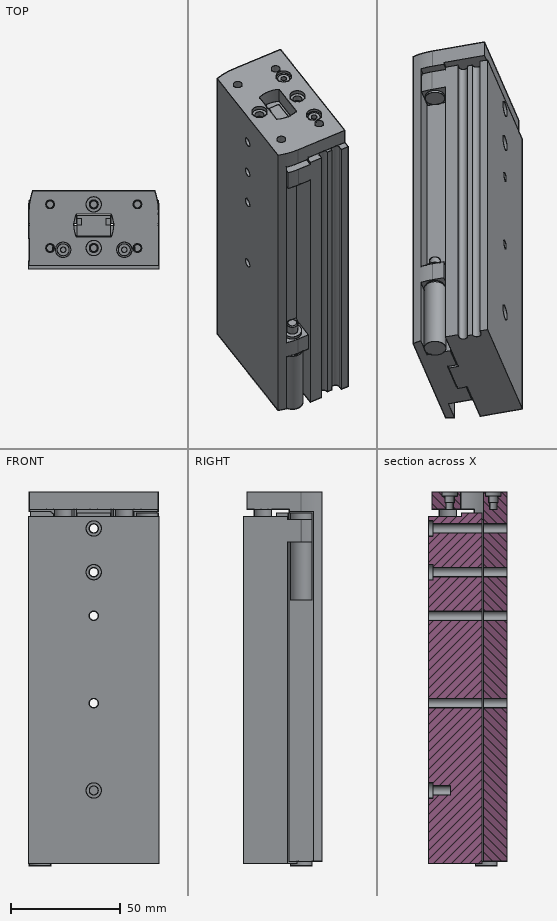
import cadquery as cq
import math


total_depth = 36.0
housing_half_width = 30.0
housing_height = 159.0
housing_depth = 20.1
end_plate_bottom = 162.3
end_plate_thickness = 8.0
end_plate_top = end_plate_bottom + end_plate_thickness
end_plate_front = 1.6

table_half_width = 29.6
table_edge_narrowing = 1.6
side_arc_start = 26.4
table_bottom = 1.0
table_neck_front = 20.9
table_neck_half_width = 18.5
table_back_plate_front = 32.0
pocket_top = 161.3
pocket_corner = 1.2

shock_x = -24.6
shock_y = 26.5
bracket_bottom = 35.4
bracket_top = 44.8
shock_bottom = -1.1
shock_body_diameter = 10.0
shock_body_top = bracket_bottom - 1.3
shock_neck_diameter = 8.5
shock_neck_top = bracket_top + 1.4
shock_stud_diameter = 5.0
shock_stud_top = 51.2
shock_stud_chamfer = 0.5

block_bottom = 147.3
block_top = 157.7
block_back = 31.5
block_inner_x = 19.2
bumper_diameter = 9.0
bumper_thickness = 1.1
stop_diameter = 10.0
stop_top = 160.7
stop_length = 40.0

groove_diameter = 4.0
groove_centers = (5.7, 12.1)
groove_center_x = -28.2

rail_half_width = 7.7
rail_front = 15.1
rail_back = 24.6
rail_top = 160.7
rail_notch_front = 20.3
rail_notch_back = 23.2
rail_notch_half_width = 5.6
rail_notch_depth = 10.0
window_half_width = 8.0
window_bulge = 1.1
window_front = 14.8
window_back = 25.2
window_bottom = block_top
channel_clearance = 0.1

rod_x = 14.0
rod_y = 8.9
rod_diameter = 8.1
rod_bottom = 50.0
rod_tip_diameter = 5.5
rod_socket_diameter = 2.5
rod_socket_depth = 3.0
rod_recess_diameter = 10.0
rod_recess_depth = 1.0
rod_counterbore_diameter = 7.0
rod_counterbore_depth = 1.5

hole_diameter = 4.13
dowel_diameter = 7.0
dowel_depth = 2.0
corner_thread_diameter = 4.0
plate_pilot_diameter = 3.24
plate_thread_depth = 5.0
plate_hole_x = 20.0
plate_hole_rows = (9.7, 29.7)
front_hole_pitch = 20.0
top_hole_z = 153.5
through_hole_z = [top_hole_z - front_hole_pitch * step for step in (0, 1, 2, 4)]
blind_hole_z = top_hole_z - 6 * front_hole_pitch
blind_hole_depth = 10.0
counterbored_z = (through_hole_z[0], through_hole_z[1], blind_hole_z)


def box(x_min, x_max, y_min, y_max, z_min, z_max):
    """Box between the given limits."""
    size = (x_max - x_min, y_max - y_min, z_max - z_min)
    return cq.Workplane("XY").box(*size, centered=False).translate((x_min, y_min, z_min))


def cylinder_z(x, y, diameter, z_min, z_max):
    """Upright cylinder."""
    return cq.Workplane("XY", origin=(x, y, z_min)).circle(diameter / 2).extrude(z_max - z_min)


def cylinder_y(z, diameter, y_min, y_max):
    """Cylinder along Y in the middle plane."""
    return cq.Workplane("XZ", origin=(0, y_min, z)).circle(diameter / 2).extrude(y_min - y_max)


def rounded_outline(half_width, y_min, y_max, z_min, z_max):
    """Prism whose flat sides turn into tangent arcs that narrow toward the back."""
    full_run = total_depth - side_arc_start
    radius = (full_run ** 2 + table_edge_narrowing ** 2) / (2 * table_edge_narrowing)

    def half_width_at(y):
        return half_width - radius + math.sqrt(radius ** 2 - (y - side_arc_start) ** 2)

    y_middle = (side_arc_start + y_max) / 2
    x_middle = half_width_at(y_middle)
    x_back = half_width_at(y_max)
    return (
        cq.Workplane("XY", origin=(0, 0, z_min))
        .moveTo(-half_width, y_min)
        .lineTo(half_width, y_min)
        .lineTo(half_width, side_arc_start)
        .threePointArc((x_middle, y_middle), (x_back, y_max))
        .lineTo(-x_back, y_max)
        .threePointArc((-x_middle, y_middle), (-half_width, side_arc_start))
        .close()
        .extrude(z_max - z_min)
    )


def guide_rail():
    """Rail standing on the housing, with a square notch in the top of each side."""
    rail = box(-rail_half_width, rail_half_width, rail_front, rail_back, 0, rail_top)
    notch_bottom = rail_top - rail_notch_depth
    for x_min, x_max in ((-rail_half_width, -rail_notch_half_width),
                         (rail_notch_half_width, rail_half_width)):
        rail = rail.cut(box(x_min, x_max, rail_notch_front, rail_notch_back, notch_bottom, rail_top))
    return rail


def stop_blocks():
    """Pair of blocks at the top of the housing that carry the end stops."""
    blocks = rounded_outline(housing_half_width, housing_depth, block_back, block_bottom, block_top)
    between = box(-block_inner_x, block_inner_x, housing_depth, block_back, block_bottom, block_top)
    bumper = cylinder_z(shock_x, shock_y, bumper_diameter, block_bottom - bumper_thickness, block_bottom)
    return blocks.cut(between).union(bumper)


def sensor_grooves():
    """Two round-bottomed grooves and the lowered land between them."""
    first, last = groove_centers
    cutter = box(-housing_half_width, groove_center_x, first, last, 0, housing_height)
    for y in groove_centers:
        radius = groove_diameter / 2
        cutter = cutter.union(
            box(-housing_half_width, groove_center_x, y - radius, y + radius, 0, housing_height)
        )
        cutter = cutter.union(cylinder_z(groove_center_x, y, groove_diameter, 0, housing_height))
    return cutter


def rod_bore(x):
    """Bore of the housing that one rod fills, with a wider recess at its mouth."""
    recess_bottom = housing_height - rod_recess_depth
    bore = cylinder_z(x, rod_y, rod_diameter, rod_bottom, housing_height)
    return bore.union(cylinder_z(x, rod_y, rod_recess_diameter, recess_bottom, housing_height))


def make_housing():
    body = box(-housing_half_width, housing_half_width, 0, housing_depth, 0, housing_height)
    body = body.cut(sensor_grooves()).union(guide_rail()).union(stop_blocks())
    for x in (-rod_x, rod_x):
        body = body.cut(rod_bore(x))
    body = body.cut(cylinder_z(-shock_x, shock_y, stop_diameter, block_bottom, block_top))
    for z in through_hole_z:
        body = body.cut(cylinder_y(z, hole_diameter, 0, rail_back))
    body = body.cut(cylinder_y(blind_hole_z, hole_diameter, 0, blind_hole_depth))
    for z in counterbored_z:
        body = body.cut(cylinder_y(z, dowel_diameter, 0, dowel_depth))
    return body


def guide_window():
    """Window with bulged ends, through the end plate and into the top of the neck."""
    y_middle = (window_front + window_back) / 2
    x_bulge = window_half_width + window_bulge
    return (
        cq.Workplane("XY", origin=(0, 0, window_bottom))
        .moveTo(-window_half_width, window_front)
        .lineTo(window_half_width, window_front)
        .threePointArc((x_bulge, y_middle), (window_half_width, window_back))
        .lineTo(-window_half_width, window_back)
        .threePointArc((-x_bulge, y_middle), (-window_half_width, window_front))
        .close()
        .extrude(end_plate_top - window_bottom)
    )


def rail_channel():
    """Straight channel in the front of the neck that slides over the rail."""
    half_width = rail_half_width + channel_clearance
    return box(-half_width, half_width, table_neck_front, window_back, table_bottom, end_plate_bottom)


def side_pocket(side, z_min, z_max, bottom_corner, top_corner):
    """Pocket beside the neck, open to one side, with beveled inner corners where asked."""
    inner = table_neck_half_width
    outer = housing_half_width
    points = [(outer, z_max), (outer, z_min)]
    if bottom_corner:
        points.append((inner + bottom_corner, z_min))
    points.append((inner, z_min + bottom_corner))
    points.append((inner, z_max - top_corner))
    if top_corner:
        points.append((inner + top_corner, z_max))
    return (
        cq.Workplane("XZ", origin=(0, table_neck_front, 0))
        .polyline([(side * x, z) for x, z in points])
        .close()
        .extrude(table_neck_front - table_back_plate_front)
    )


def stepped_hole(x, y, steps):
    """Hole down into the end plate, given as (diameter, depth) steps."""
    cutter = cq.Workplane("XY")
    for diameter, depth in steps:
        cutter = cutter.add(cylinder_z(x, y, diameter, end_plate_top - depth, end_plate_top))
    return cutter.combine()


def end_plate_holes():
    """Stepped corner holes and counterbored middle holes of the end plate."""
    corner_steps = (
        (corner_thread_diameter, plate_thread_depth),
        (plate_pilot_diameter, end_plate_thickness),
    )
    middle_steps = (
        (dowel_diameter, dowel_depth),
        (hole_diameter, plate_thread_depth),
        (plate_pilot_diameter, end_plate_thickness),
    )
    holes = cq.Workplane("XY")
    for y in plate_hole_rows:
        holes = holes.add(stepped_hole(0, y, middle_steps))
        for x in (-plate_hole_x, plate_hole_x):
            holes = holes.add(stepped_hole(x, y, corner_steps))
    return holes.combine()


def make_table():
    plate = rounded_outline(
        table_half_width, end_plate_front, total_depth, end_plate_bottom, end_plate_top
    )
    slide = rounded_outline(
        table_half_width, table_neck_front, total_depth, table_bottom, end_plate_bottom
    )
    body = plate.union(slide)
    body = body.cut(side_pocket(-1, bracket_top, pocket_top, pocket_corner, pocket_corner))
    body = body.cut(side_pocket(-1, table_bottom, bracket_bottom, 0, pocket_corner))
    body = body.cut(side_pocket(1, table_bottom, pocket_top, 0, 0))
    body = body.cut(cylinder_z(shock_x, shock_y, shock_neck_diameter, shock_body_top, shock_neck_top))
    body = body.cut(guide_window()).cut(rail_channel()).cut(end_plate_holes())
    for x in (-rod_x, rod_x):
        body = body.cut(cylinder_z(x, rod_y, rod_tip_diameter, end_plate_bottom, end_plate_top))
        body = body.cut(
            cylinder_z(x, rod_y, rod_counterbore_diameter,
                       end_plate_top - rod_counterbore_depth, end_plate_top)
        )
    for z in through_hole_z:
        body = body.cut(cylinder_y(z, hole_diameter, table_neck_front, total_depth))
    return body


def make_rod(x):
    """Piston rod whose stepped tip sits in the end plate."""
    tip_top = end_plate_top - rod_counterbore_depth
    shaft = cylinder_z(x, rod_y, rod_diameter, rod_bottom, end_plate_bottom)
    tip = cylinder_z(x, rod_y, rod_tip_diameter, end_plate_bottom, tip_top)
    socket = cylinder_z(x, rod_y, rod_socket_diameter, tip_top - rod_socket_depth, tip_top)
    return shaft.union(tip).cut(socket)


def make_shock_absorber():
    body = cylinder_z(shock_x, shock_y, shock_body_diameter, shock_bottom, shock_body_top)
    neck = cylinder_z(shock_x, shock_y, shock_neck_diameter, shock_body_top, shock_neck_top)
    stud = cylinder_z(shock_x, shock_y, shock_stud_diameter, shock_neck_top, shock_stud_top)
    stud = stud.faces(">Z").chamfer(shock_stud_chamfer)
    return body.union(neck).union(stud)


def make_retract_stop():
    """Plain cylinder in the +X stop block."""
    return cylinder_z(-shock_x, shock_y, stop_diameter, stop_top - stop_length, stop_top)


housing = make_housing()
table = make_table()
rods = [make_rod(x) for x in (-rod_x, rod_x)]
shock_absorber = make_shock_absorber()
retract_stop = make_retract_stop()

result = cq.Compound.makeCompound([
    housing.val(),
    table.val(),
    *[rod.val() for rod in rods],
    shock_absorber.val(),
    retract_stop.val(),
])